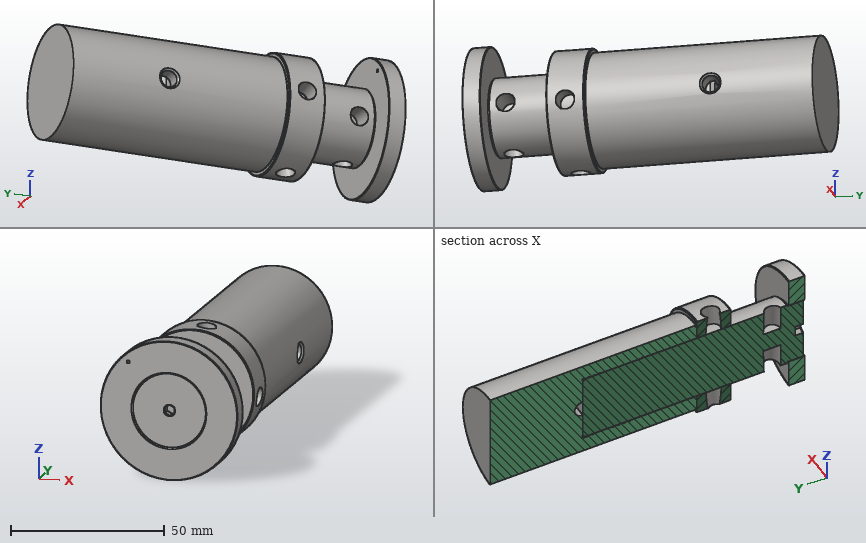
import cadquery as cq
import math


total_length = 116.3
flange_thickness = 6.0
collar_front = 27.3
collar_length = 12.8
collar_back = collar_front + collar_length
plunger_front = 0.6
plunger_back = 82.1

flange_diameter = 47.0
plunger_diameter = 26.3
collar_diameter = 40.9
barrel_diameter = 38.1

flange_chamfer = 0.2
collar_chamfer = 0.3
barrel_front_chamfer = 0.2
seat_chamfer = 0.5
plunger_front_chamfer = 0.7
plunger_back_chamfer_length = 1.4
plunger_back_chamfer_width = 0.8

spigot_diameter = plunger_diameter - 2 * plunger_front_chamfer

bar_hole_diameter = 6.3
bar_hole_count = 4
collar_hole_overrun = 1.2
collar_bar_hole_depth = (collar_diameter - plunger_diameter) / 2 + collar_hole_overrun
collar_bar_hole_turn = 6.5
plunger_bar_hole_depth = 9.3
plunger_bar_hole_turn = -3.8
plunger_bar_hole_y = 12.1

cross_hole_diameter = 5.7
cross_hole_chamfer = 0.7

socket_across_corners = 3.7
socket_depth = 2.9
socket_mouth_diameter = 4.0

marker_hole_diameter = 1.0
marker_hole_x = -14.0
marker_hole_z = 15.5


def cylinder_y(diameter, y_start, y_end):
    """Solid cylinder on the Y axis between two stations."""
    disc = cq.Workplane("XZ", origin=(0, y_start, 0)).circle(diameter / 2)
    return disc.extrude(y_start - y_end)


def cut_bar_holes(body, outer_diameter, y, depth, turn):
    """Cut flat-bottomed radial holes, turned clockwise about Y from the vertical."""
    outer_radius = outer_diameter / 2
    for index in range(bar_hole_count):
        angle = math.radians(turn + index * 360 / bar_hole_count)
        outward = cq.Vector(math.sin(angle), 0, math.cos(angle))
        floor = outward * (outer_radius - depth) + cq.Vector(0, y, 0)
        hole = cq.Solid.makeCylinder(bar_hole_diameter / 2, outer_radius, floor, outward)
        body = body.cut(cq.Workplane(hole))
    return body


def make_flange():
    flange = cylinder_y(flange_diameter, 0, flange_thickness).edges().chamfer(flange_chamfer)
    flange = flange.cut(cylinder_y(spigot_diameter, 0, flange_thickness))
    seat_rim = flange.faces("<Y").edges(cq.selectors.RadiusNthSelector(0))
    flange = seat_rim.chamfer(seat_chamfer)
    marker_hole = cylinder_y(marker_hole_diameter, 0, flange_thickness)
    return flange.cut(marker_hole.translate((marker_hole_x, 0, marker_hole_z)))


def make_socket():
    """Hexagon socket with a conical mouth, cut from the plunger front."""
    face = cq.Workplane("XZ", origin=(0, plunger_front, 0))
    hexagon = face.polygon(6, socket_across_corners).extrude(-socket_depth)
    hexagon = hexagon.rotate((0, 0, 0), (0, 1, 0), 90)
    mouth_radius = socket_mouth_diameter / 2
    mouth = cq.Solid.makeCone(
        mouth_radius, 0, mouth_radius, cq.Vector(0, plunger_front, 0), cq.Vector(0, 1, 0)
    )
    return hexagon.union(cq.Workplane(mouth))


def make_plunger():
    plunger = cylinder_y(plunger_diameter, flange_thickness, plunger_back)
    plunger = plunger.faces("<Y").chamfer(plunger_front_chamfer)
    plunger = plunger.faces(">Y").chamfer(plunger_back_chamfer_length, plunger_back_chamfer_width)
    plunger = plunger.union(cylinder_y(spigot_diameter, plunger_front, flange_thickness))
    plunger = plunger.cut(make_socket())
    return cut_bar_holes(
        plunger, plunger_diameter, plunger_bar_hole_y, plunger_bar_hole_depth, plunger_bar_hole_turn
    )


def make_collar():
    collar = cylinder_y(collar_diameter, collar_front, collar_back).edges().chamfer(collar_chamfer)
    collar = collar.cut(cylinder_y(plunger_diameter, collar_front, collar_back))
    collar_middle = collar_front + collar_length / 2
    return cut_bar_holes(
        collar, collar_diameter, collar_middle, collar_bar_hole_depth, collar_bar_hole_turn
    )


def make_barrel():
    barrel = cylinder_y(barrel_diameter, collar_back, total_length)
    barrel = barrel.faces("<Y").chamfer(barrel_front_chamfer)
    radius = barrel_diameter / 2
    cross_hole = cq.Solid.makeCylinder(
        cross_hole_diameter / 2, barrel_diameter, cq.Vector(-radius, plunger_back, 0), cq.Vector(1, 0, 0)
    )
    barrel = barrel.cut(cq.Workplane(cross_hole))
    hole_wall = barrel.faces(cq.selectors.NearestToPointSelector((0, plunger_back, 0)))
    barrel = hole_wall.edges("not |X").chamfer(cross_hole_chamfer)
    return barrel.cut(cylinder_y(plunger_diameter, collar_back, plunger_back))


flange = make_flange()
plunger = make_plunger()
collar = make_collar()
barrel = make_barrel()

bodies = [flange, plunger, collar, barrel]
result = cq.Compound.makeCompound([body.solids().val() for body in bodies])